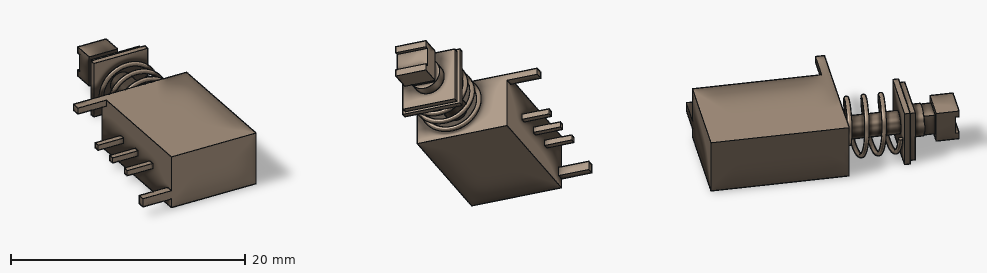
import cadquery as cq


total_length = 22.0
housing_start = 9.99
housing_length = total_length - housing_start
housing_depth = 8.32
housing_height = 5.0
axis_to_back = 3.6
housing_front = axis_to_back - housing_depth
housing_top = housing_height / 2
housing_bottom = -housing_height / 2

terminal_size = 0.5
terminal_length = 2.5
terminal_pitch = 2.5
terminal_count = 3
first_terminal_offset = 3.52
leg_length = 2.8
upper_leg_width = 0.8
upper_leg_height = 0.6
lower_leg_width = 0.65
lower_leg_height = 0.81
lower_leg_lift = 0.85

head_end = 2.0
neck_end = 3.0
collar_end = 4.0
small_plate_end = 4.49
large_plate_end = 5.0
head_width = 2.8
head_height = 2.85
notch_depth = 0.3
notch_height = 1.65
neck_width = 1.9
neck_height = 1.94
collar_diameter = 2.82
shaft_diameter = 2.02
small_plate_width = 4.77
small_plate_height = 4.86
large_plate_width = 5.3
large_plate_height = 5.25

spring_outer_diameter = 5.4
wire_radius = 0.2
spring_turns = 3
spring_pitch = 1.5
spring_travel = spring_turns * spring_pitch
coil_radius = spring_outer_diameter / 2 - wire_radius
spring_start = housing_start - wire_radius - spring_travel


def axial_block(start, end, width, height):
    """Rectangular block centred on the plunger axis."""
    return (
        cq.Workplane("YZ", origin=(start, 0, 0))
        .rect(width, height)
        .extrude(end - start)
    )


def axial_cylinder(start, end, diameter):
    """Cylinder centred on the plunger axis."""
    return cq.Workplane("YZ", origin=(start, 0, 0)).circle(diameter / 2).extrude(end - start)


def front_pin(left, bottom, width, height, length):
    """Rectangular pin projecting from the housing toward -Y."""
    corner = (left, housing_front - length, bottom)
    return cq.Workplane("XY", origin=corner).box(width, length, height, centered=False)


def make_housing_block():
    corner = (housing_start, housing_front, housing_bottom)
    block = cq.Workplane("XY", origin=corner).box(
        housing_length, housing_depth, housing_height, centered=False
    )
    upper_leg = front_pin(
        housing_start, housing_top - upper_leg_height, upper_leg_width, upper_leg_height, leg_length
    )
    lower_leg = front_pin(
        total_length - lower_leg_width,
        housing_bottom + lower_leg_lift,
        lower_leg_width,
        lower_leg_height,
        leg_length,
    )
    block = block.union(upper_leg).union(lower_leg)
    for index in range(terminal_count):
        center = housing_start + first_terminal_offset + index * terminal_pitch
        left = center - terminal_size / 2
        block = block.union(
            front_pin(left, -terminal_size / 2, terminal_size, terminal_size, terminal_length)
        )
    return block


def make_plunger():
    head = axial_block(0, head_end, head_width, head_height)
    notch = axial_block(0, notch_depth, head_width, notch_height)
    neck = axial_block(head_end, neck_end, neck_width, neck_height)
    collar = axial_cylinder(neck_end, collar_end, collar_diameter)
    small_plate = axial_block(collar_end, small_plate_end, small_plate_width, small_plate_height)
    large_plate = axial_block(small_plate_end, large_plate_end, large_plate_width, large_plate_height)
    shaft = axial_cylinder(large_plate_end, housing_start, shaft_diameter)
    plunger = head.cut(notch)
    for section in (neck, collar, small_plate, large_plate, shaft):
        plunger = plunger.union(section)
    return plunger


def make_switch():
    """Housing, pins and plunger as one continuous solid."""
    return make_housing_block().union(make_plunger())


def make_spring():
    """Left-handed coil along X that starts and ends on the +Y side."""
    path = cq.Wire.makeHelix(spring_pitch, spring_travel, coil_radius, lefthand=True)
    wire = (
        cq.Workplane("XZ", origin=(coil_radius, 0, 0))
        .circle(wire_radius)
        .sweep(cq.Workplane(obj=path), isFrenet=True)
    )
    return wire.val().moved(cq.Location(cq.Plane.named("YZ", (spring_start, 0, 0))))


switch = make_switch()
spring = make_spring()
result = cq.Compound.makeCompound([switch.val(), spring])